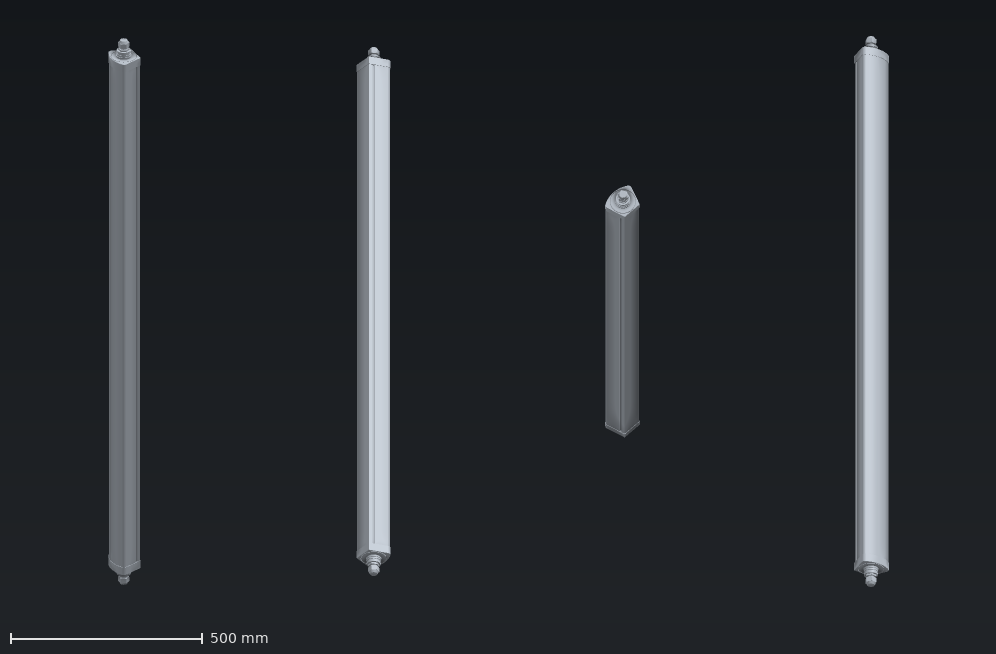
import cadquery as cq
import math

TOTAL_LENGTH = 1596.0
WIDTH = 88.0
DEPTH = 72.0
HALF_LENGTH = TOTAL_LENGTH / 2

FRONT_RADIUS = 77.0
CORNER_RADIUS = 10.0
SIDE_SLOPE = 1 / 3
SIDE_ANGLE = math.atan(SIDE_SLOPE)
BAR_INSET = 1.3

FRONT_CENTER_Y = FRONT_RADIUS - DEPTH / 2
CORNER_CENTER_X = WIDTH / 2 - CORNER_RADIUS
FRONT_ANGLE = math.asin(CORNER_CENTER_X / (FRONT_RADIUS - CORNER_RADIUS))
CORNER_CENTER_Y = FRONT_CENTER_Y - (FRONT_RADIUS - CORNER_RADIUS) * math.cos(FRONT_ANGLE)

SPLIT_Y = -3.0
GROOVE_Y = 23.1
GROOVE_WIDTH = 5.6
GROOVE_DEPTH = 3.0

CAP_END = 750.0
CAP_THICKNESS = 22.0
CAP_CHAMFER = 0.8
BODY_END = CAP_END - CAP_THICKNESS
RECESS_DIAMETER = 69.0
RECESS_DEPTH = 5.0

SEAT_DIAMETER = 65.0
SPIGOT_DIAMETER = 55.0
SPIGOT_LENGTH = 5.0
FLANGE_DIAMETER = 40.0
COLLAR_DIAMETER = 37.0
COLLAR_GROOVE_DIAMETER = 34.0
COLLAR_RINGS = (FLANGE_DIAMETER, COLLAR_DIAMETER, COLLAR_GROOVE_DIAMETER, COLLAR_DIAMETER)
COLLAR_STEP = 5.0
HEX_ACROSS_FLATS = 25.0
HEX_CORNERS = HEX_ACROSS_FLATS / math.cos(math.pi / 6)
GLAND_HEX_HEIGHT = 5.0
NECK_DIAMETER = 19.0
NECK_HEIGHT = 3.0

NUT_CHAMFER = 2.4
TIP_DIAMETER = 19.0
TIP_HEIGHT = 6.0

RECESS_FLOOR = CAP_END - RECESS_DEPTH
SPIGOT_BOTTOM = RECESS_FLOOR - SPIGOT_LENGTH
COLLAR_TOP = CAP_END + len(COLLAR_RINGS) * COLLAR_STEP
GLAND_HEX_TOP = COLLAR_TOP + GLAND_HEX_HEIGHT
NUT_BOTTOM = GLAND_HEX_TOP + NECK_HEIGHT
NUT_TOP = HALF_LENGTH - TIP_HEIGHT


def side_position(y, inset):
    """X of the sloped right-hand side at the given y."""
    offset = (CORNER_RADIUS - inset) / math.cos(SIDE_ANGLE)
    return CORNER_CENTER_X + offset - (y - CORNER_CENTER_Y) * SIDE_SLOPE


def section(inset):
    """Closed cross-section: flat back, sloped sides, rounded corners and a bulging front."""
    corner_radius = CORNER_RADIUS - inset
    front_radius = FRONT_RADIUS - inset

    def on_front(angle):
        return front_radius * math.sin(angle), FRONT_CENTER_Y - front_radius * math.cos(angle)

    back_y = DEPTH / 2 - inset
    back_x = side_position(back_y, inset)
    side_x = CORNER_CENTER_X + corner_radius * math.cos(SIDE_ANGLE)
    side_y = CORNER_CENTER_Y + corner_radius * math.sin(SIDE_ANGLE)
    widest_x = CORNER_CENTER_X + corner_radius

    return (
        cq.Workplane("XY")
        .moveTo(-back_x, back_y)
        .lineTo(back_x, back_y)
        .lineTo(side_x, side_y)
        .threePointArc((widest_x, CORNER_CENTER_Y), on_front(FRONT_ANGLE))
        .threePointArc(on_front(FRONT_ANGLE / 2), on_front(0))
        .threePointArc(on_front(-FRONT_ANGLE / 2), on_front(-FRONT_ANGLE))
        .threePointArc((-widest_x, CORNER_CENTER_Y), (-side_x, side_y))
        .close()
    )


def make_bar():
    """Full bar between the caps, with the two mirrored halves of its front kept as faces."""
    bar = section(BAR_INSET).extrude(2 * BODY_END, clean=False)
    return bar.translate((0, 0, -BODY_END))


def rear_half_space():
    """Block covering everything behind the plane where the housing meets the lens."""
    block = cq.Workplane("XY").box(2 * WIDTH, 2 * DEPTH, TOTAL_LENGTH)
    return block.translate((0, SPLIT_Y + DEPTH, 0))


def make_housing():
    housing = make_bar().intersect(rear_half_space())
    for side in (-1, 1):
        groove = (
            cq.Workplane("XY")
            .box(2 * GROOVE_DEPTH, GROOVE_WIDTH, TOTAL_LENGTH)
            .rotate((0, 0, 0), (0, 0, 1), side * math.degrees(SIDE_ANGLE))
            .translate((side * side_position(GROOVE_Y, BAR_INSET), GROOVE_Y, 0))
        )
        housing = housing.cut(groove)
    return housing


def make_lens():
    return make_bar().cut(rear_half_space(), clean=False)


def cylinder(diameter, bottom, height):
    return cq.Workplane("XY").workplane(offset=bottom).circle(diameter / 2).extrude(height)


def hexagon(bottom, height):
    return cq.Workplane("XY").workplane(offset=bottom).polygon(6, HEX_CORNERS).extrude(height)


def make_cap():
    cap = section(0).extrude(CAP_THICKNESS).faces(">Z").edges().chamfer(CAP_CHAMFER)
    cap = cap.translate((0, 0, BODY_END))
    cap = cap.cut(cylinder(RECESS_DIAMETER, RECESS_FLOOR, RECESS_DEPTH))
    return cap.cut(cylinder(SPIGOT_DIAMETER, SPIGOT_BOTTOM, SPIGOT_LENGTH))


def make_gland():
    gland = cylinder(SPIGOT_DIAMETER, SPIGOT_BOTTOM, SPIGOT_LENGTH)
    gland = gland.union(cylinder(SEAT_DIAMETER, RECESS_FLOOR, RECESS_DEPTH))
    for level, diameter in enumerate(COLLAR_RINGS):
        gland = gland.union(cylinder(diameter, CAP_END + level * COLLAR_STEP, COLLAR_STEP))
    gland = gland.union(hexagon(COLLAR_TOP, GLAND_HEX_HEIGHT))
    return gland.union(cylinder(NECK_DIAMETER, GLAND_HEX_TOP, NECK_HEIGHT))


def make_nut():
    """Hexagon nut with its lower corners chamfered and a conical tip."""
    height = NUT_TOP - NUT_BOTTOM
    chamfer_cone = cylinder(HEX_CORNERS, NUT_BOTTOM, height).faces("<Z").chamfer(NUT_CHAMFER)
    nut = hexagon(NUT_BOTTOM, height).intersect(chamfer_cone)
    tip = (
        cq.Workplane("XY")
        .workplane(offset=NUT_TOP)
        .circle(HEX_ACROSS_FLATS / 2)
        .workplane(offset=TIP_HEIGHT)
        .circle(TIP_DIAMETER / 2)
        .loft()
    )
    return nut.union(tip)


def at_both_ends(body):
    """The body at the +Z end and its copy turned half a turn about Y to the -Z end."""
    return [body.rotate((0, 0, 0), (0, 1, 0), angle).val() for angle in (0, 180)]


housing = make_housing()
lens = make_lens()
end_bodies = []
for make_body in (make_cap, make_gland, make_nut):
    end_bodies += at_both_ends(make_body())

result = cq.Compound.makeCompound([housing.val(), lens.val(), *end_bodies])